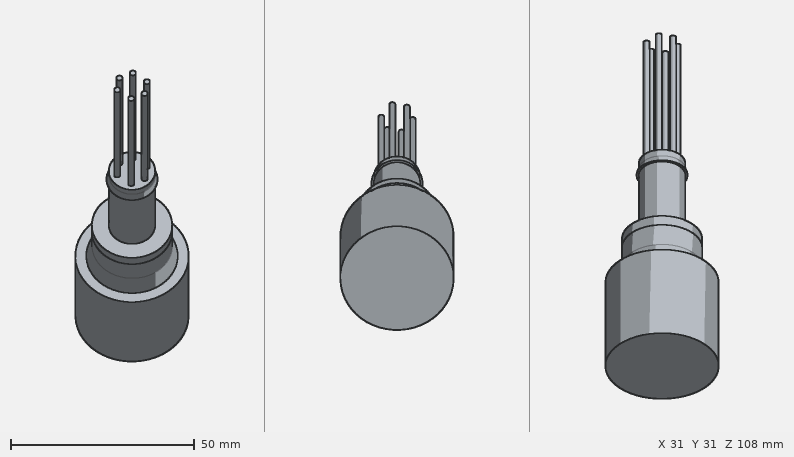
import cadquery as cq

total_height = 108.0

base_diameter = 31.0
base_top = 28.0
flare_diameter = 25.0
flare_top = 33.0
collar_diameter = 22.0
collar_cap_diameter = 21.98
collar_step = 39.5
collar_top = 42.5
sleeve_diameter = 12.7
barb_diameter = 14.0
barb_bottom = 64.0
barb_top = 66.0
sleeve_top = 68.0

wire_diameter = 1.7
end_wire_x = 4.3
corner_wire_x = 2.4
corner_wire_y = 3.55


def make_body():
    base_radius = base_diameter / 2
    flare_radius = flare_diameter / 2
    collar_radius = collar_diameter / 2
    cap_radius = collar_cap_diameter / 2
    sleeve_radius = sleeve_diameter / 2
    barb_radius = barb_diameter / 2
    half_section = (
        cq.Workplane("XZ")
        .lineTo(base_radius, 0)
        .lineTo(base_radius, base_top)
        .lineTo(flare_radius, base_top)
        .lineTo(collar_radius, flare_top)
        .lineTo(collar_radius, collar_step)
        .lineTo(cap_radius, collar_step)
        .lineTo(cap_radius, collar_top)
        .lineTo(sleeve_radius, collar_top)
        .lineTo(sleeve_radius, barb_bottom)
        .lineTo(barb_radius, barb_bottom)
        .lineTo(sleeve_radius, barb_top)
        .lineTo(sleeve_radius, sleeve_top)
        .lineTo(0, sleeve_top)
        .close()
    )
    return half_section.revolve(360, (0, 0, 0), (0, 1, 0))


def make_wires():
    centres = []
    for side in (-1, 1):
        centres.append((side * end_wire_x, 0))
        centres.append((side * corner_wire_x, corner_wire_y))
        centres.append((side * corner_wire_x, -corner_wire_y))
    return (
        cq.Workplane("XY", origin=(0, 0, sleeve_top))
        .pushPoints(centres)
        .circle(wire_diameter / 2)
        .extrude(total_height - sleeve_top)
    )


result = make_body().union(make_wires())